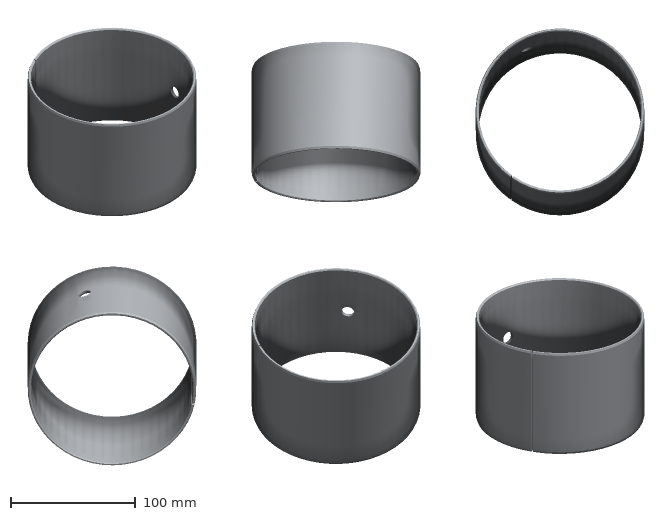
import cadquery as cq
import math

outer_diameter = 135.0
length = 90.0
inner_diameter = 130.0
outer_chamfer_height = 1.8
outer_chamfer_angle = 20.0
inner_chamfer = 0.8
slit_angle = 1.0
hole_diameter = 10.0
hole_angle_from_slit = 120.0

outer_radius = outer_diameter / 2
inner_radius = inner_diameter / 2
half_length = length / 2
outer_chamfer_depth = outer_chamfer_height * math.tan(math.radians(outer_chamfer_angle))
hole_direction = 180.0 - slit_angle - hole_angle_from_slit


def split_sleeve():
    """Wall section with its four end chamfers, revolved about Z except for the slit."""
    rim_outer = outer_radius - outer_chamfer_depth
    rim_inner = inner_radius + inner_chamfer
    outer_shoulder = half_length - outer_chamfer_height
    inner_shoulder = half_length - inner_chamfer
    section = [
        (-rim_inner, -half_length),
        (-rim_outer, -half_length),
        (-outer_radius, -outer_shoulder),
        (-outer_radius, outer_shoulder),
        (-rim_outer, half_length),
        (-rim_inner, half_length),
        (-inner_radius, inner_shoulder),
        (-inner_radius, -inner_shoulder),
    ]
    sweep_angle = 360.0 - slit_angle
    return cq.Workplane("XZ").polyline(section).close().revolve(sweep_angle, (0, 0, 0), (0, 1, 0))


def oil_hole_cutter():
    """Radial hole through one side of the wall at mid-length."""
    return (
        cq.Workplane("YZ")
        .circle(hole_diameter / 2)
        .extrude(outer_diameter)
        .rotate((0, 0, 0), (0, 0, 1), hole_direction)
    )


result = split_sleeve().cut(oil_hole_cutter())